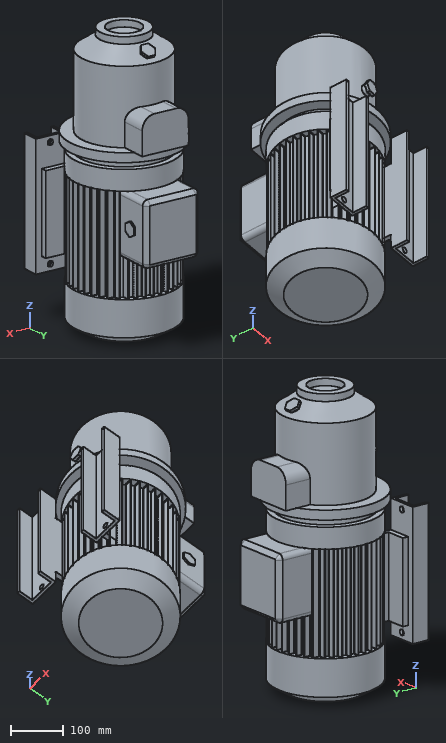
import cadquery as cq
import math

COVER_CONE_TOP = 20.5
FIN_BOTTOM = 98.5
FIN_TOP = 321.0
BELL_TOP = 366.0
FLANGE_BOTTOM = 384.0
FLANGE_TOP = 404.5
PUMP_CONE_BOTTOM = 571.5
COLLAR_BOTTOM = 601.0
OVERALL_TOP = 616.5

MOTOR_RADIUS = 114.5
COVER_END_RADIUS = 81.0
NECK_RADIUS = 100.5
FLANGE_RADIUS = 125.0

CORE_RADIUS = 100.5
FINS_PER_QUADRANT = 10
FIN_PITCH_ANGLE = 90.0 / FINS_PER_QUADRANT
FIN_SPACING_RADIUS = 110.0
FIN_THICKNESS = 2.0
FIN_TIP_RADIUS = 113.5

BOX_WIDTH = 128.0
BOX_BOTTOM = 180.0
BOX_OUTER_Y = 166.0
BOX_EDGE_RADIUS = 11.0
BOX_CHAMFER = 10.0
GLAND_ACROSS_CORNERS = 32.5
GLAND_LENGTH = 4.0
GLAND_Y = 116.5

RAIL_OUTER_X = 129.0
RAIL_WIDTH = 68.5
RAIL_THICKNESS = 7.0
RAIL_BACK_Y = -112.0
RAIL_FRONT_Y = -151.0
RAIL_BOTTOM = 100.0
RAIL_TOP = 378.5
RAIL_INNER_X = RAIL_OUTER_X - RAIL_WIDTH
RAIL_CENTER_X = RAIL_OUTER_X - RAIL_WIDTH / 2
RAIL_HOLE_DIAMETER = 12.5
RAIL_HOLE_HEIGHTS = (114.5, 364.5)

FOOT_BOTTOM = 134.5
FOOT_TOP = 314.5
FOOT_OUTER_X = 114.5
FOOT_PAD_THICKNESS = 13.0
FOOT_WEB_THICKNESS = 10.5
FOOT_WEB_INNER_Y = -68.0

PUMP_RADIUS = 97.5
COLLAR_RADIUS = 55.5
RECESS_RADIUS = 37.0
RECESS_DEPTH = 15.0
PORT_WIDTH = 108.5
PORT_TOP = 486.5
PORT_OUTER_Y = 140.0
PORT_EDGE_RADIUS = 29.0

PLUG_ACROSS_CORNERS = 32.5
PLUG_HEAD_THICKNESS = 7.0
PLUG_SHANK_RADIUS = 12.0
DRAIN_PLUG_HEIGHT = 465.0
DRAIN_PLUG_STANDOFF = 10.0
VENT_PLUG_STANDOFF = 2.5


def block(x_min, x_max, y_min, y_max, z_min, z_max):
    """Axis-aligned box between two opposite corners."""
    size = (x_max - x_min, y_max - y_min, z_max - z_min)
    return cq.Workplane("XY").box(*size, centered=False).translate((x_min, y_min, z_min))


def revolved(profile):
    """Solid of revolution about the Z axis from (radius, height) points."""
    return cq.Workplane("XZ").polyline(profile).close().revolve(360, (0, 0), (0, 1))


def cylinder(radius, z_min, z_max):
    return cq.Workplane("XY").workplane(offset=z_min).circle(radius).extrude(z_max - z_min)


def motor_shell():
    """Fan cover, finned core, end bell, neck and mounting flange."""
    return revolved([
        (0, 0),
        (COVER_END_RADIUS, 0),
        (MOTOR_RADIUS, COVER_CONE_TOP),
        (MOTOR_RADIUS, FIN_BOTTOM),
        (CORE_RADIUS, FIN_BOTTOM),
        (CORE_RADIUS, FIN_TOP),
        (MOTOR_RADIUS, FIN_TOP),
        (MOTOR_RADIUS, BELL_TOP),
        (NECK_RADIUS, BELL_TOP),
        (NECK_RADIUS, FLANGE_BOTTOM),
        (FLANGE_RADIUS, FLANGE_BOTTOM),
        (FLANGE_RADIUS, FLANGE_TOP),
        (0, FLANGE_TOP),
    ])


def cooling_fins():
    """Plates along X and along Y, trimmed to a common round outline."""
    plates = cq.Workplane("XY")
    for index in range(FINS_PER_QUADRANT):
        angle = (index - (FINS_PER_QUADRANT - 1) / 2) * FIN_PITCH_ANGLE
        offset = FIN_SPACING_RADIUS * math.sin(math.radians(angle))
        plate = block(
            -MOTOR_RADIUS, MOTOR_RADIUS,
            offset - FIN_THICKNESS / 2, offset + FIN_THICKNESS / 2,
            FIN_BOTTOM, FIN_TOP,
        )
        plates = plates.add(plate).add(plate.rotate((0, 0, 0), (0, 0, 1), 90))
    envelope = cylinder(FIN_TIP_RADIUS, FIN_BOTTOM, FIN_TOP)
    return plates.combine().intersect(envelope)


def terminal_box():
    """Box with rounded edges, a bevelled lid and a hexagonal cable gland on its +X side."""
    box = block(-BOX_WIDTH / 2, BOX_WIDTH / 2, 0, BOX_OUTER_Y, BOX_BOTTOM, FIN_TOP)
    box = box.edges("|Y").fillet(BOX_EDGE_RADIUS)
    box = box.faces(">Y").chamfer(BOX_CHAMFER)
    gland_center = (BOX_WIDTH / 2, GLAND_Y, (BOX_BOTTOM + FIN_TOP) / 2)
    gland_plane = cq.Plane(gland_center, (0, 0, 1), (1, 0, 0))
    gland = cq.Workplane(gland_plane).polygon(6, GLAND_ACROSS_CORNERS).extrude(GLAND_LENGTH)
    return box.union(gland)


def foot_and_rail():
    """Foot and drilled channel rail on the +X side."""
    pad = block(
        RAIL_INNER_X, FOOT_OUTER_X,
        RAIL_BACK_Y, RAIL_BACK_Y + FOOT_PAD_THICKNESS,
        FOOT_BOTTOM, FOOT_TOP,
    )
    web = block(
        RAIL_INNER_X, RAIL_INNER_X + FOOT_WEB_THICKNESS,
        RAIL_BACK_Y, FOOT_WEB_INNER_Y,
        FOOT_BOTTOM, FOOT_TOP,
    )
    channel = block(RAIL_INNER_X, RAIL_OUTER_X, RAIL_FRONT_Y, RAIL_BACK_Y, RAIL_BOTTOM, RAIL_TOP)
    hollow = block(
        RAIL_INNER_X + RAIL_THICKNESS, RAIL_OUTER_X - RAIL_THICKNESS,
        RAIL_FRONT_Y, RAIL_BACK_Y - RAIL_THICKNESS,
        RAIL_BOTTOM, RAIL_TOP,
    )
    holes = (
        cq.Workplane("XZ", origin=(0, RAIL_BACK_Y, 0))
        .pushPoints([(RAIL_CENTER_X, height) for height in RAIL_HOLE_HEIGHTS])
        .circle(RAIL_HOLE_DIAMETER / 2)
        .extrude(RAIL_THICKNESS)
    )
    return channel.cut(hollow).cut(holes).union(pad).union(web)


def make_motor():
    """Flange motor carried on two rails."""
    right_support = foot_and_rail()
    motor = motor_shell().union(cooling_fins())
    motor = motor.union(terminal_box())
    return motor.union(right_support).union(right_support.mirror("YZ"))


def screw_plug(base, direction, standoff):
    """Hexagon-headed plug: the head stands off from a base point on the pump surface."""
    head_plane = cq.Plane(base, (1, 0, 0), direction)
    shank_embedding = PLUG_SHANK_RADIUS / 2
    shank = (
        cq.Workplane(head_plane)
        .workplane(offset=-shank_embedding)
        .circle(PLUG_SHANK_RADIUS)
        .extrude(shank_embedding + standoff)
    )
    head = (
        cq.Workplane(head_plane)
        .workplane(offset=standoff)
        .polygon(6, PLUG_ACROSS_CORNERS)
        .extrude(PLUG_HEAD_THICKNESS)
    )
    return shank.union(head)


def discharge_port():
    """Block with a rounded top, standing on the flange and leaving the pump towards +Y."""
    port = block(-PORT_WIDTH / 2, PORT_WIDTH / 2, 0, PORT_OUTER_Y, FLANGE_TOP, PORT_TOP)
    return port.edges("|Y and >Z").fillet(PORT_EDGE_RADIUS)


def make_pump():
    """Pump casing with inlet collar, discharge port, drain plug and vent plug."""
    casing = revolved([
        (0, FLANGE_TOP),
        (PUMP_RADIUS, FLANGE_TOP),
        (PUMP_RADIUS, PUMP_CONE_BOTTOM),
        (COLLAR_RADIUS, COLLAR_BOTTOM),
        (COLLAR_RADIUS, OVERALL_TOP),
        (0, OVERALL_TOP),
    ])
    recess = cylinder(RECESS_RADIUS, OVERALL_TOP - RECESS_DEPTH, OVERALL_TOP)
    drain_plug = screw_plug((0, -PUMP_RADIUS, DRAIN_PLUG_HEIGHT), (0, -1, 0), DRAIN_PLUG_STANDOFF)

    shoulder_middle = (0, (PUMP_RADIUS + COLLAR_RADIUS) / 2, (PUMP_CONE_BOTTOM + COLLAR_BOTTOM) / 2)
    shoulder_normal = (0, COLLAR_BOTTOM - PUMP_CONE_BOTTOM, PUMP_RADIUS - COLLAR_RADIUS)
    vent_plug = screw_plug(shoulder_middle, shoulder_normal, VENT_PLUG_STANDOFF)

    pump = casing.union(discharge_port()).cut(recess)
    return pump.union(drain_plug).union(vent_plug)


motor = make_motor()
pump = make_pump()
result = cq.Compound.makeCompound([motor.solids().val(), pump.solids().val()])